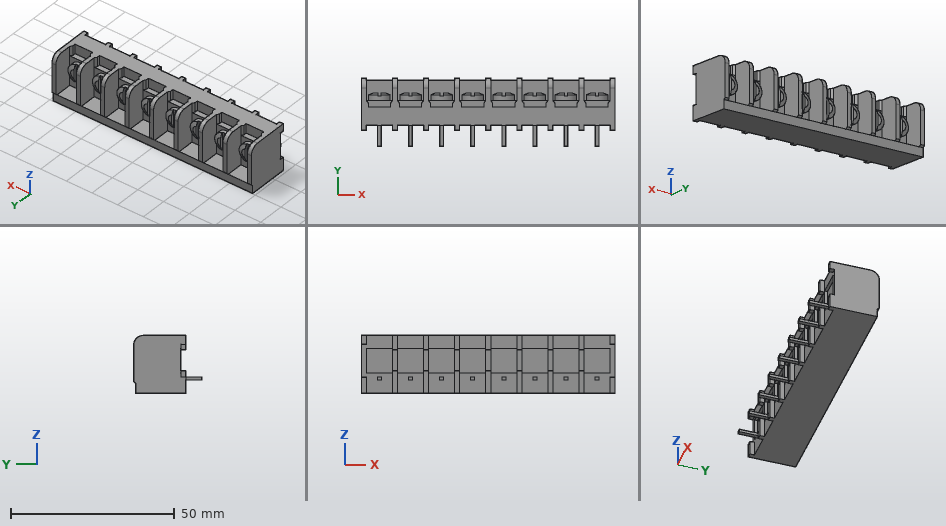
import cadquery as cq

pole_count = 8
pitch = 9.525
wall_thickness = 1.55
height = 17.78
wall_depth = 16.0
pin_length = 4.95

cell_width = pitch - wall_thickness
length = pole_count * pitch + wall_thickness

wall_corner_radius = 3.05
foot_setback = 0.63
foot_height = 3.0
foot_slope_height = 3.6
foot_back = wall_depth - foot_setback

body_front = 1.5
edge_chamfer = 0.13
end_notch_bottom = 5.0
end_notch_top = 14.95
inner_notch_bottom = 6.9
inner_notch_top = 13.3
recess_bottom = 6.2
recess_top = 13.75
recess_depth = 0.95

cell_front = 9.1
cell_floor = foot_height
slot_front = 7.2
slot_shoulder = 8.3
slot_width = 6.8
plate_top = 14.2

screw_height = (inner_notch_bottom + inner_notch_top) / 2
head_diameter = 6.6
head_rim = 1.75
head_crown = 0.6
crown_top_diameter = 3.6
driver_slot_width = 1.0
driver_slot_depth = 1.0

pin_width = 1.2
pin_thickness = 1.0
pin_height = 4.5

wall_starts = [i * pitch - length / 2 for i in range(pole_count + 1)]
pole_centers = [start + wall_thickness + cell_width / 2 for start in wall_starts[:-1]]


def block(x_start, x_end, y_start, y_end, z_start, z_end):
    """Box given by its limits along each axis."""
    size = (x_end - x_start, y_end - y_start, z_end - z_start)
    return cq.Workplane("XY").box(*size, centered=False).translate((x_start, y_start, z_start))


def make_wall(x_start, notch_bottom, notch_top):
    """Dividing wall with a rounded rear top corner, a set-back foot and a chamfered front notch."""
    return (
        cq.Workplane("YZ")
        .moveTo(0, 0)
        .lineTo(foot_back, 0)
        .lineTo(foot_back, foot_height)
        .lineTo(wall_depth, foot_slope_height)
        .lineTo(wall_depth, height - wall_corner_radius)
        .radiusArc((wall_depth - wall_corner_radius, height), -wall_corner_radius)
        .lineTo(edge_chamfer, height)
        .lineTo(0, height - edge_chamfer)
        .lineTo(0, notch_top + edge_chamfer)
        .lineTo(edge_chamfer, notch_top)
        .lineTo(body_front, notch_top)
        .lineTo(body_front, notch_bottom)
        .lineTo(edge_chamfer, notch_bottom)
        .lineTo(0, notch_bottom - edge_chamfer)
        .close()
        .extrude(wall_thickness)
        .translate((x_start, 0, 0))
    )


def slot_profile():
    """Plan outline of the guide slot on a pole centre, flaring out to the cell width."""
    return (
        cq.Workplane("XY")
        .workplane(offset=cell_floor)
        .moveTo(-slot_width / 2, slot_front)
        .lineTo(slot_width / 2, slot_front)
        .lineTo(slot_width / 2, slot_shoulder)
        .lineTo(cell_width / 2, cell_front)
        .lineTo(-cell_width / 2, cell_front)
        .lineTo(-slot_width / 2, slot_shoulder)
        .close()
    )


def make_screw():
    """Screw head facing +Y on the terminal plate, with a flat-blade slot along Z."""
    radius = head_diameter / 2
    head_top = head_rim + head_crown
    head = (
        cq.Workplane("XY")
        .lineTo(radius, 0)
        .lineTo(radius, head_rim)
        .lineTo(crown_top_diameter / 2, head_top)
        .lineTo(0, head_top)
        .close()
        .revolve(360, (0, 0, 0), (0, 1, 0))
    )
    half_slot = driver_slot_width / 2
    slot = block(-half_slot, half_slot, head_top - driver_slot_depth, head_top, -radius, radius)
    return head.cut(slot).translate((0, cell_front, screw_height))


def make_pole():
    """Body section between two walls with its plate, screw and pin, centred on X = 0."""
    half = cell_width / 2
    pole = block(-half, half, body_front, cell_front, 0, height)
    pole = pole.union(block(-half, half, cell_front, foot_back, 0, cell_floor))
    recess_back = body_front + recess_depth
    pole = pole.cut(block(-half, half, body_front, recess_back, recess_bottom, recess_top))
    pole = pole.cut(slot_profile().extrude(height - cell_floor))
    pole = pole.union(slot_profile().extrude(plate_top - cell_floor))
    pole = pole.union(make_screw())
    pin = block(
        -pin_width / 2,
        pin_width / 2,
        -pin_length,
        body_front,
        pin_height - pin_thickness / 2,
        pin_height + pin_thickness / 2,
    )
    return pole.union(pin)


result = make_wall(wall_starts[0], end_notch_bottom, end_notch_top)
for start in wall_starts[1:-1]:
    result = result.union(make_wall(start, inner_notch_bottom, inner_notch_top))
result = result.union(make_wall(wall_starts[-1], end_notch_bottom, end_notch_top))

pole_shape = make_pole()
for center in pole_centers:
    result = result.union(pole_shape.translate((center, 0, 0)))